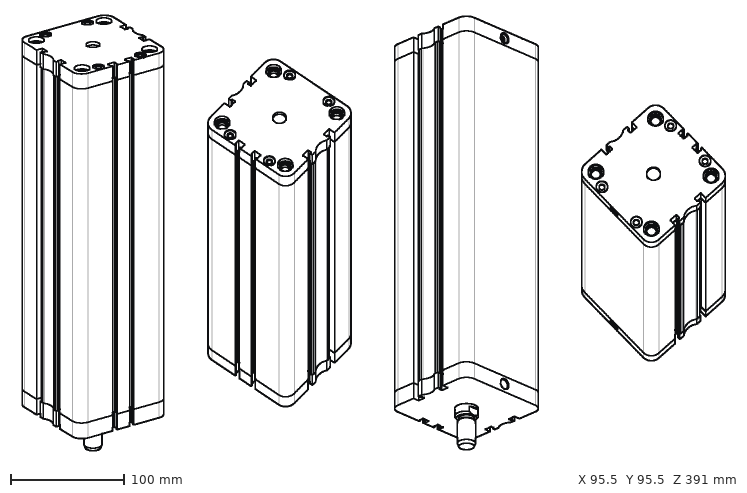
import cadquery as cq

TOTAL_LENGTH = 391.0
ROD_LENGTH = 37.0
SIDE = 95.5
HALF_SIDE = SIDE / 2
CORNER_RADIUS = 9.8
LOWER_CAP_THICKNESS = 15.2
UPPER_CAP_THICKNESS = 14.5
BODY_LENGTH = TOTAL_LENGTH - ROD_LENGTH
TUBE_LENGTH = BODY_LENGTH - LOWER_CAP_THICKNESS - UPPER_CAP_THICKNESS

SLOT_OUTER_WALL = 18.5
SLOT_INNER_WALL = 12.5
SLOT_UNDERCUT_WALL = 11.0
SLOT_LIP = 2.7
SLOT_DEPTH_IN_CAP = 6.3
SLOT_DEPTH_IN_TUBE = 6.0
GROOVE_HALF_WIDTH = 8.0
GROOVE_DEPTH = 2.7
SLOT_EDGE_CHAMFER = 1.0
GROOVE_EDGE_CHAMFER = 0.8

T_SLOT_OFFSET = 9.0
T_SLOT_MOUTH = 4.5
T_SLOT_WIDTH = 7.0
T_SLOT_LIP = 1.5
T_SLOT_DEPTH_IN_CAP = 6.3
T_SLOT_DEPTH_IN_TUBE = 5.0

SCREW_OFFSET = 36.0
SCREW_HEAD_DIAMETER = 13.5
SCREW_HEAD_DEPTH = 4.0
SCREW_STEP_DIAMETER = 10.0
SCREW_STEP_DEPTH = 6.3
SCREW_HOLE_DIAMETER = 8.5
SCREW_HOLE_DEPTH = 9.8
CENTRE_HOLE_DIAMETER = 12.0
CENTRE_HOLE_DEPTH = 3.0

PORT_DIAMETER = 8.5
PORT_MOUTH_DIAMETER = 10.0
PORT_CHAMFER = (PORT_MOUTH_DIAMETER - PORT_DIAMETER) / 2
SOCKET_DIAMETER = 5.0
SOCKET_DEPTH = 2.0
LOWER_PORT_Z = 8.0
LOWER_PORT_DEPTH = 8.0
UPPER_PORT_Z = BODY_LENGTH - 7.5
UPPER_PORT_DEPTH = 4.0

RECESS_OFFSET_X = 41.5
RECESS_OFFSET_Y = 22.3
RECESS_DIAMETER = 10.0
RECESS_DEPTH = 1.0

COLLAR_DIAMETER = 20.7
COLLAR_LENGTH = 9.5
COLLAR_CHAMFER_HEIGHT = 2.0
COLLAR_END_DIAMETER = 17.5
FLAT_WIDTH = 17.5
FLAT_START = 2.5
NECK_DIAMETER = 13.5
NECK_END = 11.7
THREAD_DIAMETER = 16.0
THREAD_START = 13.0
TIP_CHAMFER_HEIGHT = 3.0


def square_block(length):
    """A square bar with rounded edges, standing on Z = 0."""
    return cq.Workplane("XY").rect(SIDE, SIDE).extrude(length).edges("|Z").fillet(CORNER_RADIUS)


def undercut_slot(length, depth):
    """The slot left of the middle on the -Y side, wider towards the middle below its lip."""
    outside = -HALF_SIDE
    return (
        cq.Workplane("XY")
        .moveTo(-SLOT_OUTER_WALL, outside)
        .lineTo(-SLOT_OUTER_WALL, outside + depth)
        .lineTo(-SLOT_UNDERCUT_WALL, outside + depth)
        .lineTo(-SLOT_UNDERCUT_WALL, outside + SLOT_LIP)
        .lineTo(-SLOT_INNER_WALL, outside + SLOT_LIP)
        .lineTo(-SLOT_INNER_WALL, outside)
        .close()
        .extrude(length)
    )


def round_groove(length):
    """The shallow groove along the middle of the -Y side."""
    outside = -HALF_SIDE
    return (
        cq.Workplane("XY")
        .moveTo(-GROOVE_HALF_WIDTH, outside)
        .threePointArc((0, outside + GROOVE_DEPTH), (GROOVE_HALF_WIDTH, outside))
        .close()
        .extrude(length)
    )


def t_slot(length, depth, offset_y):
    """A T-shaped slot in the +X side."""
    mouth = cq.Workplane("XY").box(depth, T_SLOT_MOUTH, length, centered=(False, True, False))
    wide_depth = depth - T_SLOT_LIP
    wide = cq.Workplane("XY").box(wide_depth, T_SLOT_WIDTH, length, centered=(False, True, False))
    return mouth.union(wide).translate((HALF_SIDE - depth, offset_y, 0))


def profile_bar(length, slot_depth, t_slot_depth):
    """The outer profile shared by the tube and the caps."""
    slot = undercut_slot(length, slot_depth)
    cuts = slot.union(slot.mirror("YZ")).union(round_groove(length))
    bar = square_block(length).cut(cuts).cut(cuts.mirror("XZ"))
    for offset_y in (-T_SLOT_OFFSET, T_SLOT_OFFSET):
        bar = bar.cut(t_slot(length, t_slot_depth, offset_y))
    return bar


def make_tube():
    """The tube, with chamfered ridges between its slots and its grooves."""
    tube = profile_bar(TUBE_LENGTH, SLOT_DEPTH_IN_TUBE, T_SLOT_DEPTH_IN_TUBE)
    ridge_edges = [(SLOT_INNER_WALL, SLOT_EDGE_CHAMFER), (GROOVE_HALF_WIDTH, GROOVE_EDGE_CHAMFER)]
    for x, chamfer in ridge_edges:
        for x_side in (-1, 1):
            for y_side in (-1, 1):
                edge_point = (x_side * x, y_side * HALF_SIDE, TUBE_LENGTH / 2)
                tube = tube.edges(cq.NearestToPointSelector(edge_point)).chamfer(chamfer)
    return tube.translate((0, 0, LOWER_CAP_THICKNESS))


def round_cutter(face, diameter, depth):
    """A plain cylinder that goes from a face into the part."""
    return face.circle(diameter / 2).extrude(-depth)


def port_cutter(face, depth):
    """A round port with a chamfered mouth."""
    mouth = (
        face.circle(PORT_MOUTH_DIAMETER / 2)
        .workplane(offset=-PORT_CHAMFER)
        .circle(PORT_DIAMETER / 2)
        .loft(ruled=True)
    )
    return round_cutter(face, PORT_DIAMETER, depth).union(mouth)


def recess_cutter(face):
    """A shallow recess with a narrower socket in its floor."""
    socket = round_cutter(face, SOCKET_DIAMETER, RECESS_DEPTH + SOCKET_DEPTH)
    return round_cutter(face, RECESS_DIAMETER, RECESS_DEPTH).union(socket)


def screw_hole_cutter(face):
    """A hole that narrows in three steps."""
    return (
        round_cutter(face, SCREW_HEAD_DIAMETER, SCREW_HEAD_DEPTH)
        .union(round_cutter(face, SCREW_STEP_DIAMETER, SCREW_STEP_DEPTH))
        .union(round_cutter(face, SCREW_HOLE_DIAMETER, SCREW_HOLE_DEPTH))
    )


def side_face(z):
    """A workplane on the -X side, facing outwards."""
    return cq.Workplane("ZY", origin=(-HALF_SIDE, 0, z))


def top_face(x, y):
    """A workplane on the top of the upper cap, facing upwards."""
    return cq.Workplane("XY", origin=(x, y, BODY_LENGTH))


def make_lower_cap():
    cap = profile_bar(LOWER_CAP_THICKNESS, SLOT_DEPTH_IN_CAP, T_SLOT_DEPTH_IN_CAP)
    return cap.cut(port_cutter(side_face(LOWER_PORT_Z), LOWER_PORT_DEPTH))


def make_upper_cap():
    cap = profile_bar(UPPER_CAP_THICKNESS, SLOT_DEPTH_IN_CAP, T_SLOT_DEPTH_IN_CAP)
    cap = cap.translate((0, 0, BODY_LENGTH - UPPER_CAP_THICKNESS))
    cap = cap.cut(round_cutter(top_face(0, 0), CENTRE_HOLE_DIAMETER, CENTRE_HOLE_DEPTH))
    upper_port_face = side_face(UPPER_PORT_Z)
    cap = cap.cut(port_cutter(upper_port_face, UPPER_PORT_DEPTH))
    cap = cap.cut(round_cutter(upper_port_face, SOCKET_DIAMETER, UPPER_PORT_DEPTH + SOCKET_DEPTH))
    for x_side in (-1, 1):
        for y_side in (-1, 1):
            screw_face = top_face(x_side * SCREW_OFFSET, y_side * SCREW_OFFSET)
            recess_face = top_face(x_side * RECESS_OFFSET_X, y_side * RECESS_OFFSET_Y)
            cap = cap.cut(screw_hole_cutter(screw_face))
            cap = cap.cut(recess_cutter(recess_face))
    return cap


def make_rod():
    """The turned rod end with two wrench flats on its collar."""
    rod = (
        cq.Workplane("XZ")
        .moveTo(0, 0)
        .lineTo(COLLAR_DIAMETER / 2, 0)
        .lineTo(COLLAR_DIAMETER / 2, COLLAR_CHAMFER_HEIGHT - COLLAR_LENGTH)
        .lineTo(COLLAR_END_DIAMETER / 2, -COLLAR_LENGTH)
        .lineTo(NECK_DIAMETER / 2, -COLLAR_LENGTH)
        .lineTo(NECK_DIAMETER / 2, -NECK_END)
        .lineTo(THREAD_DIAMETER / 2, -THREAD_START)
        .lineTo(THREAD_DIAMETER / 2, TIP_CHAMFER_HEIGHT - ROD_LENGTH)
        .lineTo(NECK_DIAMETER / 2, -ROD_LENGTH)
        .lineTo(0, -ROD_LENGTH)
        .close()
        .revolve(360, (0, 0, 0), (0, 1, 0))
    )
    flat_height = COLLAR_LENGTH - FLAT_START
    for side in (-1, 1):
        flat_cut = cq.Workplane("XY").box(FLAT_WIDTH, COLLAR_DIAMETER, flat_height)
        rod = rod.cut(flat_cut.translate((side * FLAT_WIDTH, 0, -FLAT_START - flat_height / 2)))
    return rod


tube = make_tube()
lower_cap = make_lower_cap()
upper_cap = make_upper_cap()
rod = make_rod()

result = cq.Compound.makeCompound([tube.val(), lower_cap.val(), upper_cap.val(), rod.val()])